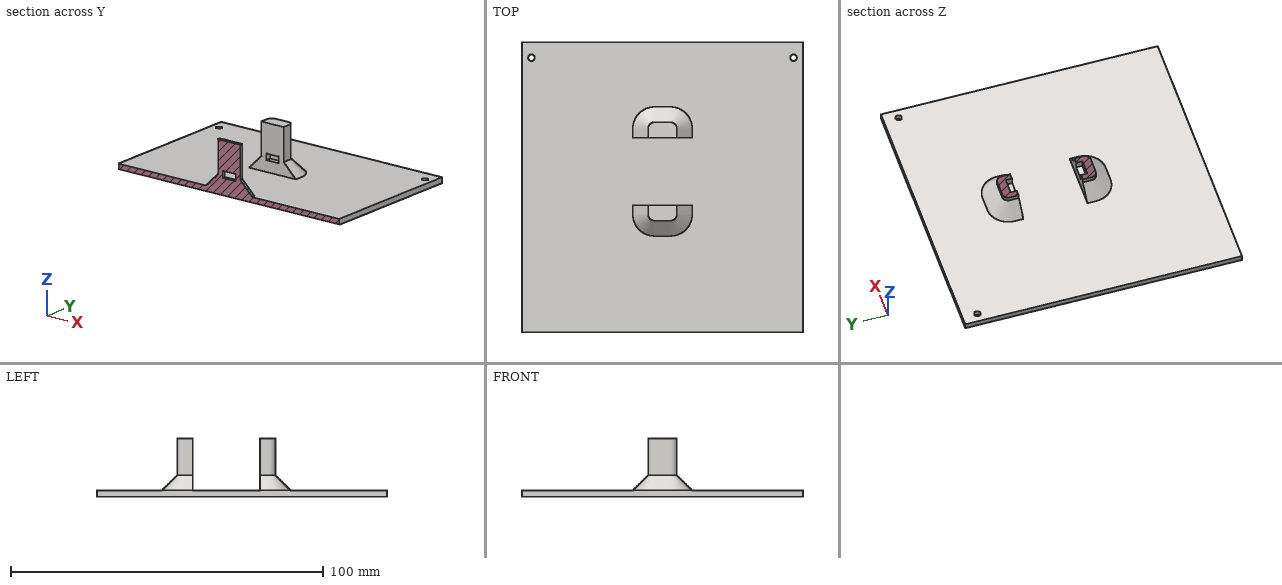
import cadquery as cq

plate_width = 90.0
plate_length = 93.0
plate_thickness = 2.0
total_height = 18.7

hole_diameter = 2.0
hole_spacing = 84.0
hole_edge_distance = 5.0

post_width = 9.2
post_depth = 5.0
post_corner_radius = 2.0
post_gap = 21.5
pair_center_y = 5.0

foot_spread = 4.9
foot_height = 4.8

pocket_width = 5.0
pocket_height = 2.2
pocket_depth = 2.0
pocket_bottom = plate_thickness + 4.0


def d_outline(z, spread):
    """Post section at height z, grown by spread on its outer sides; inner side lies on Y = 0."""
    half_width = post_width / 2 + spread
    outer_y = post_depth + spread
    radius = post_corner_radius + spread
    return (
        cq.Workplane("XY", origin=(0, 0, z))
        .moveTo(-half_width, 0)
        .lineTo(half_width, 0)
        .lineTo(half_width, outer_y - radius)
        .radiusArc((half_width - radius, outer_y), -radius)
        .lineTo(radius - half_width, outer_y)
        .radiusArc((-half_width, outer_y - radius), -radius)
        .close()
    )


def make_plate():
    hole_y = plate_length / 2 - hole_edge_distance
    hole_centers = [(-hole_spacing / 2, hole_y), (hole_spacing / 2, hole_y)]
    return (
        cq.Workplane("XY")
        .box(plate_width, plate_length, plate_thickness, centered=(True, True, False))
        .faces(">Z")
        .workplane(origin=(0, 0, plate_thickness))
        .pushPoints(hole_centers)
        .hole(hole_diameter)
    )


def make_foot():
    lower_wire = d_outline(plate_thickness, foot_spread).val()
    upper_wire = d_outline(plate_thickness + foot_height, 0).val()
    return cq.Workplane(cq.Solid.makeLoft([lower_wire, upper_wire], True))


def make_post():
    """Post with its foot and pocket, extending toward +Y from its inner face on Y = 0."""
    shaft = d_outline(plate_thickness, 0).extrude(total_height - plate_thickness)
    pocket = cq.Workplane("XY", origin=(0, 0, pocket_bottom)).box(
        pocket_width, pocket_depth, pocket_height, centered=(True, False, False)
    )
    return shaft.union(make_foot()).cut(pocket)


post = make_post().translate((0, post_gap / 2, 0))
post_pair = post.union(post.mirror("XZ")).translate((0, pair_center_y, 0))
result = make_plate().union(post_pair)